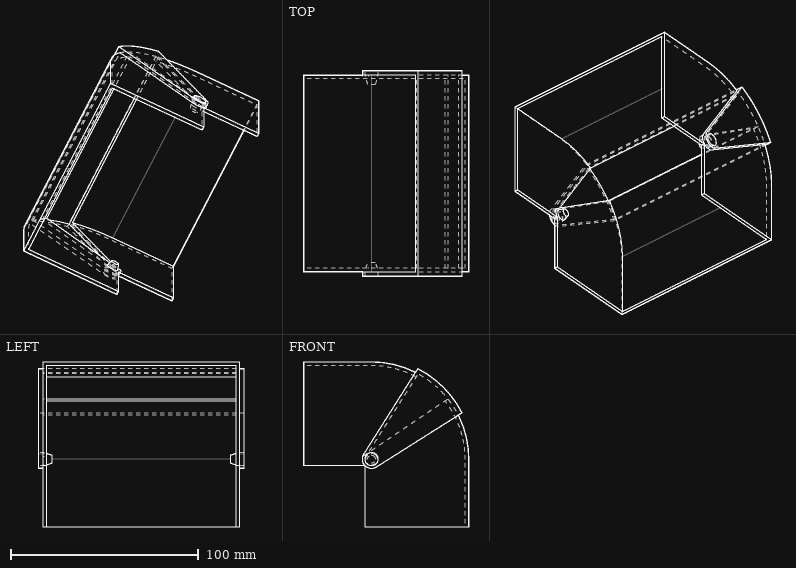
import cadquery as cq
import math


overall_width = 109.6
bell_wall = 2.4
channel_wall = 2.0
channel_radius = 51.8
bell_radius = 54.1
straight_length = 36.2
lower_drop = 3.5
hub_radius = 4.9
bell_edge_angle = 57.7
plug_edge_angle = 34.0
plug_edge_offset = 3.8
lip_overlap = 1.6
pin_radius = 3.5
pin_shank_radius = 3.1
pin_tip_radius = 2.1
pin_tip_length = 3.0

channel_width = overall_width - 2 * bell_wall
inner_width = channel_width - 2 * channel_wall
inner_radius = channel_radius - channel_wall
lower_bell_edge_angle = 90 - bell_edge_angle


def polar(radius, angle):
    """Point in the XZ plane at an angle measured from +X towards +Z."""
    a = math.radians(angle)
    return (radius * math.cos(a), radius * math.sin(a))


def edge_end_angle(radius, slope, offset):
    """Polar angle where a line passing the hinge at an offset meets a circle."""
    return slope + math.degrees(math.asin(offset / radius))


def extrude_centred(outline, width):
    """Extrude a closed XZ outline so that it is centred on the XZ plane."""
    return outline.close().extrude(width).translate((0, width / 2, 0))


def cylinder(radius, width):
    return cq.Workplane("XZ").circle(radius).extrude(width).translate((0, width / 2, 0))


def socket_channel_block(radius, width):
    """Solid envelope of the -X channel, ending on the lip line under the bell."""
    lip_offset = hub_radius - lip_overlap
    end_angle = edge_end_angle(radius, bell_edge_angle, lip_offset)
    foot = polar(lip_offset, bell_edge_angle + 90)
    outline = (
        cq.Workplane("XZ")
        .moveTo(-straight_length, -lower_drop)
        .lineTo(-straight_length, radius)
        .lineTo(0, radius)
        .threePointArc(polar(radius, (90 + end_angle) / 2), polar(radius, end_angle))
        .lineTo(*foot)
        .lineTo(foot[0], -lower_drop)
    )
    return extrude_centred(outline, width)


def plug_channel_block(radius, width):
    """Solid envelope of the -Z channel, with its rounded hub at the hinge."""
    end_angle = edge_end_angle(radius, plug_edge_angle, plug_edge_offset)
    hub_end_angle = 180 - edge_end_angle(hub_radius, -plug_edge_angle, plug_edge_offset)
    corner = (-lower_drop, -math.sqrt(hub_radius**2 - lower_drop**2))
    outline = (
        cq.Workplane("XZ")
        .moveTo(*corner)
        .threePointArc(polar(hub_radius, 180), polar(hub_radius, hub_end_angle))
        .lineTo(*polar(radius, end_angle))
        .threePointArc(polar(radius, end_angle / 2), (radius, 0))
        .lineTo(radius, -straight_length)
        .lineTo(-lower_drop, -straight_length)
    )
    return extrude_centred(outline, width)


def make_bell():
    """Wedge-shaped cover with a hub, hollowed to fit over the channels."""
    upper_angle = edge_end_angle(bell_radius, bell_edge_angle, hub_radius)
    lower_angle = 90 - upper_angle
    outline = (
        cq.Workplane("XZ")
        .moveTo(*polar(hub_radius, bell_edge_angle + 90))
        .lineTo(*polar(bell_radius, upper_angle))
        .threePointArc(polar(bell_radius, 45), polar(bell_radius, lower_angle))
        .lineTo(*polar(hub_radius, lower_bell_edge_angle - 90))
        .threePointArc(polar(hub_radius, 225), polar(hub_radius, bell_edge_angle + 90))
    )
    bell = extrude_centred(outline, overall_width)
    return bell.cut(cylinder(channel_radius, channel_width))


def make_socket_half():
    """Channel and bell in one piece, with clearance for the hub of the plug half."""
    channel = socket_channel_block(channel_radius, channel_width)
    hollow = cylinder(inner_radius, inner_width).union(
        cq.Workplane("XY")
        .box(straight_length, inner_width, inner_radius + lower_drop, centered=(False, True, False))
        .translate((-straight_length, 0, -lower_drop)),
        clean=True,
    )
    channel = channel.cut(hollow).cut(plug_channel_block(channel_radius, channel_width))
    return channel.union(make_bell()).cut(cylinder(pin_radius, overall_width)).clean()


def make_plug_half():
    """Channel whose rounded hubs turn inside the bell."""
    hollow = cylinder(inner_radius, inner_width).union(
        cq.Workplane("XY")
        .box(inner_radius + lower_drop, inner_width, straight_length, centered=(False, True, False))
        .translate((-lower_drop, 0, -straight_length)),
        clean=True,
    )
    channel = plug_channel_block(channel_radius, channel_width).cut(hollow)
    return channel.cut(cylinder(pin_shank_radius, overall_width)).clean()


def make_pin(side):
    """Hinge pin flush with the bell on one side (-1 or +1 along Y), tapered inside."""
    outer_y = overall_width / 2
    wall_y = inner_width / 2
    profile = (
        cq.Workplane("XY")
        .moveTo(0, side * outer_y)
        .lineTo(pin_radius, side * outer_y)
        .lineTo(pin_radius, side * channel_width / 2)
        .lineTo(pin_shank_radius, side * channel_width / 2)
        .lineTo(pin_shank_radius, side * wall_y)
        .lineTo(pin_tip_radius, side * (wall_y - pin_tip_length))
        .lineTo(0, side * (wall_y - pin_tip_length))
        .close()
    )
    return profile.revolve(360, (0, 0, 0), (0, 1, 0))


socket_half = make_socket_half()
plug_half = make_plug_half()
pins = [make_pin(side) for side in (-1, 1)]

result = cq.Compound.makeCompound([socket_half.val(), plug_half.val(), *[pin.val() for pin in pins]])